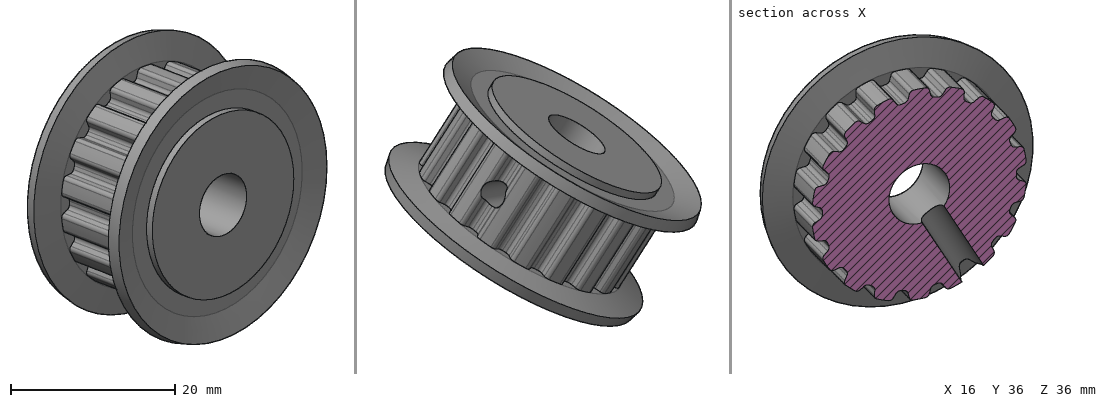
import cadquery as cq
import math

overall_width = 16.0
bore_diameter = 8.0

tooth_count = 18
tooth_tip_diameter = 28.65
belt_width = 11.0
groove_depth = 1.4
groove_floor_width = 1.25
groove_flank_angle = 25.0
groove_root_fillet = 0.6
tooth_tip_fillet = 0.6
corner_tolerance = 0.1

hub_diameter = 24.0

flange_diameter = 36.0
flange_thickness = 1.5
flange_bend_diameter = 28.8
rim_bevel = 0.36

screw_hole_diameter = 3.3

tip_radius = tooth_tip_diameter / 2
root_radius = tip_radius - groove_depth
pitch_angle = 360.0 / tooth_count
screw_hole_angle = 180.0 - 1.5 * pitch_angle
flange_inner_x = belt_width / 2
flange_flat_outer_x = flange_inner_x + flange_thickness
flange_rim_x = overall_width / 2


def make_groove_cutter():
    """Trapezoid prism that cuts one tooth groove on the +Z side."""
    cutter_top = tip_radius + groove_depth
    half_floor = groove_floor_width / 2
    flank_spread = (cutter_top - root_radius) * math.tan(math.radians(groove_flank_angle))
    half_top = half_floor + flank_spread
    return (
        cq.Workplane("YZ")
        .polyline([
            (-half_floor, root_radius),
            (half_floor, root_radius),
            (half_top, cutter_top),
            (-half_top, cutter_top),
        ])
        .close()
        .extrude(belt_width / 2, both=True)
    )


def distance_from_axis(edge):
    center = edge.Center()
    return math.hypot(center.y, center.z)


def make_toothed_ring():
    """Toothed section; a tooth points straight up along +Z."""
    ring = cq.Workplane("YZ").circle(tip_radius).extrude(belt_width / 2, both=True)
    cutter = make_groove_cutter()
    for index in range(tooth_count):
        groove_angle = (index + 0.5) * pitch_angle
        ring = ring.cut(cutter.rotate((0, 0, 0), (1, 0, 0), groove_angle))

    middle_radius = (tip_radius + root_radius) / 2
    ring = (
        ring.edges("|X")
        .filter(lambda edge: distance_from_axis(edge) < middle_radius)
        .fillet(groove_root_fillet)
    )
    return (
        ring.edges("|X")
        .filter(lambda edge: distance_from_axis(edge) > tip_radius - corner_tolerance)
        .fillet(tooth_tip_fillet)
    )


def make_screw_hole_cutter():
    """Radial cylinder from the axis outward through one groove."""
    return (
        cq.Workplane("XY")
        .circle(screw_hole_diameter / 2)
        .extrude(tooth_tip_diameter)
        .rotate((0, 0, 0), (1, 0, 0), screw_hole_angle)
    )


def make_pulley():
    hub = cq.Workplane("YZ").circle(hub_diameter / 2).extrude(overall_width / 2, both=True)
    bore = cq.Workplane("YZ").circle(bore_diameter / 2).extrude(overall_width / 2, both=True)
    return make_toothed_ring().union(hub).cut(bore).cut(make_screw_hole_cutter())


def make_flange(side):
    """Flat washer with an outward-dished rim; side is -1 or +1 along X."""
    hub_radius = hub_diameter / 2
    bend_radius = flange_bend_diameter / 2
    rim_radius = flange_diameter / 2
    profile = [
        (flange_inner_x, hub_radius),
        (flange_inner_x, bend_radius),
        (flange_rim_x - flange_thickness, rim_radius),
        (flange_rim_x, rim_radius - rim_bevel),
        (flange_flat_outer_x, bend_radius),
        (flange_flat_outer_x, hub_radius),
    ]
    return (
        cq.Workplane("XY")
        .polyline([(side * x, radius) for x, radius in profile])
        .close()
        .revolve(360, (0, 0, 0), (1, 0, 0))
    )


pulley = make_pulley()
flanges = [make_flange(side) for side in (-1, 1)]

result = cq.Compound.makeCompound([pulley.val(), *[flange.val() for flange in flanges]])